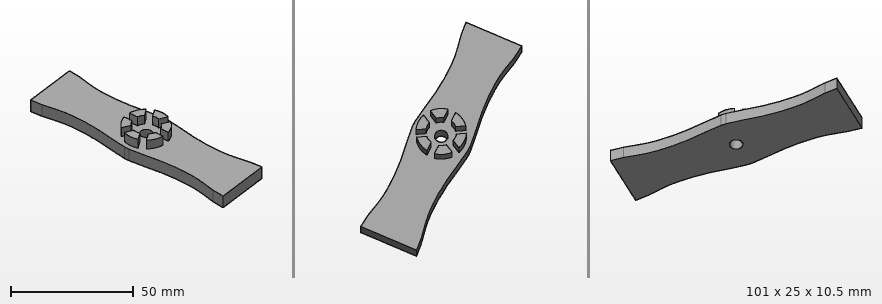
import cadquery as cq

length = 101.0
width = 25.0
plate_thickness = 6.0
half_length = length / 2
half_width = width / 2

flat_half_length = 1.1
end_curve_x = 44.9
end_curve_y = 12.0
end_flank = (36.4, 10.4)
waist = (26.8, 9.8)
middle_flank = (16.7, 10.4)
end_slope = 0.15
middle_slope = 0.09

total_height = 10.5
tooth_height = total_height - plate_thickness
ring_outer_radius = 10.3
ring_inner_radius = 6.3
tooth_count = 6
slot_width = 3.3
hole_diameter = 5.4


def quarter_plate():
    """One quadrant of the plate, bounded by the two symmetry planes."""
    return (
        cq.Workplane("XY")
        .lineTo(0, half_width)
        .lineTo(flat_half_length, half_width)
        .spline(
            [middle_flank, waist, end_flank, (end_curve_x, end_curve_y)],
            tangents=[(1, -middle_slope), (1, end_slope)],
            includeCurrent=True,
        )
        .lineTo(half_length, half_width)
        .lineTo(half_length, 0)
        .close()
        .extrude(plate_thickness)
    )


def full_plate():
    """Mirror the quadrant across both symmetry planes."""
    quarter = quarter_plate()
    half = quarter.union(quarter.mirror("YZ"))
    return half.union(half.mirror("XZ")).clean()


def tooth_ring():
    """A ring divided into equal teeth by slots through its centre."""
    ring = (
        cq.Workplane("XY", origin=(0, 0, plate_thickness))
        .circle(ring_outer_radius)
        .circle(ring_inner_radius)
        .extrude(tooth_height)
    )
    slot = cq.Workplane("XY", origin=(0, 0, plate_thickness)).rect(
        2 * ring_outer_radius, slot_width
    ).extrude(tooth_height)
    for index in range(tooth_count // 2):
        angle = index * 360 / tooth_count
        ring = ring.cut(slot.rotate((0, 0, 0), (0, 0, 1), angle))
    return ring


hole = cq.Workplane("XY").circle(hole_diameter / 2).extrude(plate_thickness)
result = full_plate().union(tooth_ring()).cut(hole)